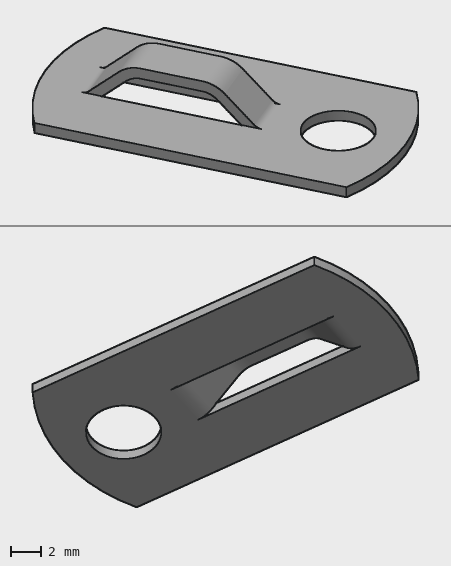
import cadquery as cq
import math

plate_length = 25.4
plate_width = 12.7
thickness = 0.8
overall_height = 3.55

hole_diameter = 4.95
hole_x = 7.95

strip_width = 3.3
strip_center_x = -3.15
flat_half_length = 2.15
leg_angle = math.radians(43)
foot_upper_radius = 0.7
foot_lower_radius = foot_upper_radius + thickness
crown_lower_radius = 1.52
crown_upper_radius = crown_lower_radius + thickness

rise = overall_height - thickness
radius_sum = foot_upper_radius + crown_upper_radius
slope_length = (rise - radius_sum * (1 - math.cos(leg_angle))) / math.sin(leg_angle)
leg_run = radius_sum * math.sin(leg_angle) + slope_length * math.cos(leg_angle)
slot_half_length = flat_half_length + leg_run


def make_plate():
    disc = cq.Workplane("XY").circle(plate_length / 2).extrude(thickness)
    sides = cq.Workplane("XY").rect(plate_length, plate_width).extrude(thickness)
    hole = cq.Workplane("XY").center(hole_x, 0).circle(hole_diameter / 2).extrude(thickness)
    slot = (
        cq.Workplane("XY")
        .center(strip_center_x, 0)
        .rect(2 * slot_half_length, strip_width)
        .extrude(thickness)
    )
    return disc.intersect(sides).cut(hole).cut(slot)


def leg_points(base_z, foot_radius, crown_radius):
    """Left leg surface from foot to crown: start, middle and end of each bend."""
    foot_z = base_z + foot_radius
    crown_z = base_z + rise - crown_radius
    angles = (0, leg_angle / 2, leg_angle)
    foot = [
        (-slot_half_length + foot_radius * math.sin(a), foot_z - foot_radius * math.cos(a))
        for a in angles
    ]
    crown = [
        (-flat_half_length - crown_radius * math.sin(a), crown_z + crown_radius * math.cos(a))
        for a in reversed(angles)
    ]
    return foot + crown


def draw_surface(profile, points):
    """Continue from points[0] through bend, slope and bend."""
    return (
        profile.threePointArc(points[1], points[2])
        .lineTo(*points[3])
        .threePointArc(points[4], points[5])
    )


def mirrored(points):
    return [(-x, z) for x, z in reversed(points)]


def make_strip():
    upper = leg_points(thickness, foot_upper_radius, crown_upper_radius)
    lower = leg_points(0, foot_lower_radius, crown_lower_radius)
    lower_right = mirrored(lower)
    upper_right = mirrored(upper)

    profile = cq.Workplane("XZ").moveTo(*upper[0])
    profile = draw_surface(profile, upper).lineTo(*upper_right[0])
    profile = draw_surface(profile, upper_right).lineTo(*lower_right[-1])
    profile = draw_surface(profile, lower_right[::-1]).lineTo(*lower[-1])
    profile = draw_surface(profile, lower[::-1]).close()
    return profile.extrude(strip_width / 2, both=True).translate((strip_center_x, 0, 0))


result = make_plate().union(make_strip())